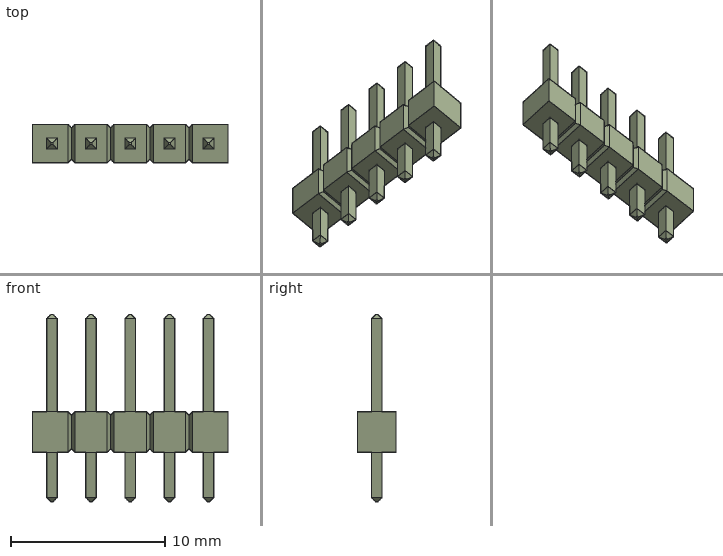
import cadquery as cq

PIN_COUNT = 5
PITCH = 2.54
HOUSING_DEPTH = 2.5
HOUSING_HEIGHT = 2.65
NOTCH_DEPTH = 0.225

PIN_WIDTH = 0.7
PIN_ABOVE = 6.3
PIN_BELOW = 3.2
TIP_CHAMFER = 0.28

PIN_LENGTH = PIN_BELOW + HOUSING_HEIGHT + PIN_ABOVE
PIN_POSITIONS = [(i - (PIN_COUNT - 1) / 2) * PITCH for i in range(PIN_COUNT)]


def square_bar(x, z_bottom, length):
    """Square bar as wide as a pin, standing along Z at the given X."""
    return (
        cq.Workplane("XY", origin=(x, 0, z_bottom))
        .rect(PIN_WIDTH, PIN_WIDTH)
        .extrude(length)
    )


def make_cell(index):
    """One housing cell, bevelled all around each side that faces a neighbour."""
    cell = (
        cq.Workplane("XY", origin=(PIN_POSITIONS[index], 0, 0))
        .box(PITCH, HOUSING_DEPTH, HOUSING_HEIGHT, centered=(True, True, False))
    )
    if index > 0:
        cell = cell.faces("<X").chamfer(NOTCH_DEPTH)
    if index < PIN_COUNT - 1:
        cell = cell.faces(">X").chamfer(NOTCH_DEPTH)
    return cell


def make_housing():
    """Row of joined cells with a square through hole for each pin."""
    housing = make_cell(0)
    for index in range(1, PIN_COUNT):
        housing = housing.union(make_cell(index))
    for x in PIN_POSITIONS:
        housing = housing.cut(square_bar(x, 0, HOUSING_HEIGHT))
    return housing


def make_pin(x):
    """Square pin tapered to a small flat at both ends."""
    return square_bar(x, -PIN_BELOW, PIN_LENGTH).faces("<Z or >Z").chamfer(TIP_CHAMFER)


housing = make_housing()
pins = [make_pin(x) for x in PIN_POSITIONS]

result = cq.Compound.makeCompound([housing.val(), *[pin.val() for pin in pins]])